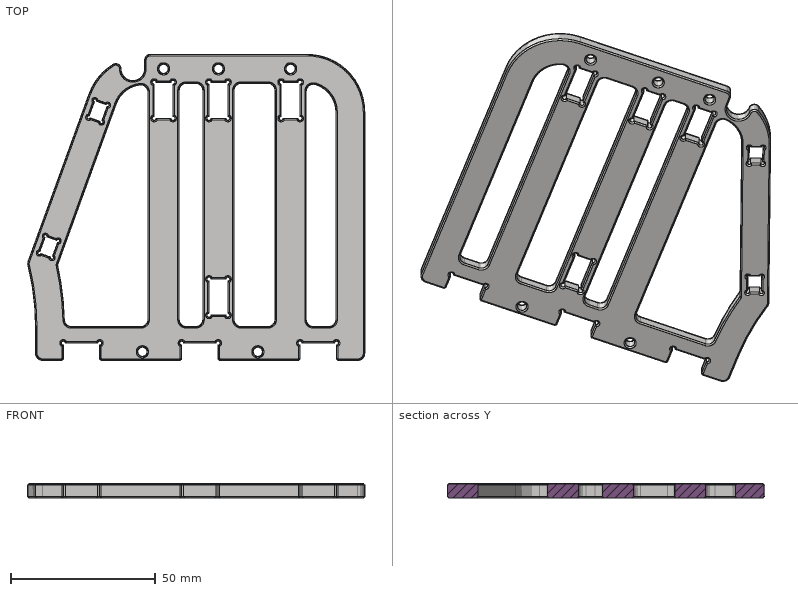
import cadquery as cq
import math

thickness = 5.0
width = 114.03
height = 106.0
edge_chamfer = 0.5
corner_radius = 2.5

frame_width = 10.0
top_corner_radius = 20.0
right_corner_x = width - top_corner_radius
right_corner_y = height - top_corner_radius
left_corner_x = 37.35
left_corner_y = 85.5

foot_height = 11.7
bend_radius = 87.0
arm_lean = math.radians(20)
arm_along = (math.sin(arm_lean), math.cos(arm_lean))
arm_outward = (-math.cos(arm_lean), math.sin(arm_lean))

bar_centers = (44.35, 63.35, 88.35)
bar_width = 10.8
opening_bottom = 11.7
opening_top = height - frame_width
opening_right = width - frame_width

hole_diameter = 3.2
top_hole_y = 101.0
bottom_hole_y = 3.0
bottom_hole_xs = (37.0, 77.0)

relief_radius = 0.7
arm_relief_radius = 0.55
tab_length = 12.5
tab_width = 6.5
upper_tab_y = 90.1
lower_tab_y = 21.9
arm_tab_width = 4.7
arm_tab_length = 6.2
arm_tab_heights = (39.3, 86.3)
notch_depth = 6.0
notch_width = 12.6
first_notch_x = 15.92
notch_pitch = 41.0
notch_count = 3

hook_radius = 4.1
hook_x = 33.7
hook_y = top_hole_y
hook_left = hook_x - hook_radius
hook_right = hook_x + hook_radius
hook_tip_radius = 1.8
hook_corner_radius = 2.0


def on_circle(center_x, center_y, radius, angle):
    """Point on a circle at an angle from the X axis."""
    return (center_x + radius * math.cos(angle), center_y + radius * math.sin(angle))


def arm_top(inset):
    """Upper end of the straight arm edge, moved inwards from the outer edge."""
    reach = top_corner_radius - inset
    return (left_corner_x + reach * arm_outward[0], left_corner_y + reach * arm_outward[1])


def arm_bottom(inset):
    """Kink where the straight arm edge meets the large arc, both moved inwards."""
    top_x, top_y = arm_top(inset)
    from_center_x = top_x + bend_radius
    from_center_y = top_y - foot_height
    along = from_center_x * arm_along[0] + from_center_y * arm_along[1]
    excess = from_center_x**2 + from_center_y**2 - (bend_radius + inset) ** 2
    step = along - math.sqrt(along**2 - excess)
    return (top_x - step * arm_along[0], top_y - step * arm_along[1])


def bend_middle(inset):
    """Point halfway along the large arc, moved inwards."""
    kink_x, kink_y = arm_bottom(inset)
    half_angle = math.atan2(kink_y - foot_height, kink_x + bend_radius) / 2
    return on_circle(-bend_radius, foot_height, bend_radius + inset, half_angle)


def draw_left_side(outline, inset):
    """Continue an outline from the top left corner down to the foot and close it."""
    radius = top_corner_radius - inset
    middle_angle = (math.pi / 2 + math.pi - arm_lean) / 2
    return (
        outline.lineTo(left_corner_x, left_corner_y + radius)
        .threePointArc(on_circle(left_corner_x, left_corner_y, radius, middle_angle), arm_top(inset))
        .lineTo(*arm_bottom(inset))
        .threePointArc(bend_middle(inset), (inset, foot_height))
        .close()
    )


def draw_top_right_corner(outline, inset):
    """Continue an outline from the right side around the rounded top right corner."""
    radius = top_corner_radius - inset
    middle = on_circle(right_corner_x, right_corner_y, radius, math.pi / 4)
    return outline.lineTo(right_corner_x + radius, right_corner_y).threePointArc(
        middle, (right_corner_x, right_corner_y + radius)
    )


def upright_edge(body, point):
    """Select the upright edge nearest to a point of the plan."""
    return body.edges("|Z").edges(cq.NearestToPointSelector((*point, thickness / 2)))


def round_corners(body, points, radius):
    for point in points:
        body = upright_edge(body, point).fillet(radius)
    return body


def make_plate():
    outline = draw_top_right_corner(cq.Workplane().lineTo(width, 0), 0)
    outline = outline.lineTo(left_corner_x, height)
    plate = draw_left_side(outline, 0).extrude(thickness)
    return round_corners(plate, [(0, 0), (width, 0), arm_bottom(0)], corner_radius)


def cut_hook_notch(plate):
    notch = (
        cq.Workplane()
        .moveTo(hook_left, height)
        .lineTo(hook_left, hook_y)
        .threePointArc((hook_x, hook_y - hook_radius), (hook_right, hook_y))
        .lineTo(hook_right, height)
        .close()
        .extrude(thickness)
    )
    tip_rise = math.sqrt(top_corner_radius**2 - (left_corner_x - hook_left) ** 2)
    plate = plate.cut(notch)
    plate = round_corners(plate, [(hook_left, left_corner_y + tip_rise)], hook_tip_radius)
    return round_corners(plate, [(hook_right, height)], hook_corner_radius)


def make_left_opening():
    right = bar_centers[0] - bar_width / 2
    top = left_corner_y + top_corner_radius - frame_width
    outline = (
        cq.Workplane()
        .moveTo(frame_width, opening_bottom)
        .lineTo(right, opening_bottom)
        .lineTo(right, top)
    )
    opening = draw_left_side(outline, frame_width).extrude(thickness)
    corners = [(frame_width, opening_bottom), (right, opening_bottom), (right, top)]
    return round_corners(opening, corners, corner_radius)


def make_middle_opening(left_bar, right_bar):
    left = left_bar + bar_width / 2
    right = right_bar - bar_width / 2
    return (
        cq.Workplane()
        .center((left + right) / 2, (opening_bottom + opening_top) / 2)
        .rect(right - left, opening_top - opening_bottom)
        .extrude(thickness)
        .edges("|Z")
        .fillet(corner_radius)
    )


def make_right_opening():
    left = bar_centers[-1] + bar_width / 2
    outline = cq.Workplane().moveTo(left, opening_bottom).lineTo(opening_right, opening_bottom)
    outline = draw_top_right_corner(outline, frame_width)
    opening = outline.lineTo(left, opening_top).close().extrude(thickness)
    corners = [(left, opening_bottom), (opening_right, opening_bottom), (left, opening_top)]
    return round_corners(opening, corners, corner_radius)


def cut_openings(plate):
    plate = plate.cut(make_left_opening()).cut(make_right_opening())
    for left_bar, right_bar in zip(bar_centers, bar_centers[1:]):
        plate = plate.cut(make_middle_opening(left_bar, right_bar))
    return plate


def make_relieved_rectangle(center, size_x, size_y, relief=relief_radius, turn=0):
    """Rectangular cutter with a small round relief at each corner."""
    plan = cq.Workplane(origin=(*center, 0)).transformed(rotate=(0, 0, turn))
    reliefs = (
        plan.rect(size_x, size_y, forConstruction=True)
        .vertices()
        .circle(relief)
        .extrude(thickness)
    )
    return plan.rect(size_x, size_y).extrude(thickness).union(reliefs)


def cut_tab_holes(plate):
    centers = [(x, upper_tab_y) for x in bar_centers]
    centers.append((bar_centers[1], lower_tab_y))
    for center in centers:
        plate = plate.cut(make_relieved_rectangle(center, tab_width, tab_length))
    return plate


def cut_arm_tab_holes(plate):
    """Tab holes on the centre line of the leaning arm, turned with it."""
    middle_x, middle_y = arm_top(frame_width / 2)
    for y in arm_tab_heights:
        center = (middle_x + (y - middle_y) * math.tan(arm_lean), y)
        hole = make_relieved_rectangle(
            center, arm_tab_width, arm_tab_length, arm_relief_radius, -math.degrees(arm_lean)
        )
        plate = plate.cut(hole)
    return plate


def cut_edge_notches(plate):
    """Notches in the bottom edge, with the upright corners of their mouths chamfered."""
    for index in range(notch_count):
        x = first_notch_x + index * notch_pitch
        plate = plate.cut(make_relieved_rectangle((x, 0), notch_width, 2 * notch_depth))
        for side in (-1, 1):
            mouth_corner = (x + side * notch_width / 2, 0)
            plate = upright_edge(plate, mouth_corner).chamfer(edge_chamfer)
    return plate


def cut_round_holes(plate):
    centers = [(x, top_hole_y) for x in bar_centers]
    centers += [(x, bottom_hole_y) for x in bottom_hole_xs]
    holes = cq.Workplane().pushPoints(centers).circle(hole_diameter / 2).extrude(thickness)
    return plate.cut(holes)


result = make_plate()
result = cut_hook_notch(result)
result = cut_openings(result)
result = cut_tab_holes(result)
result = cut_arm_tab_holes(result)
result = cut_edge_notches(result)
result = cut_round_holes(result)

result = result.faces("<Z or >Z").edges().chamfer(edge_chamfer)